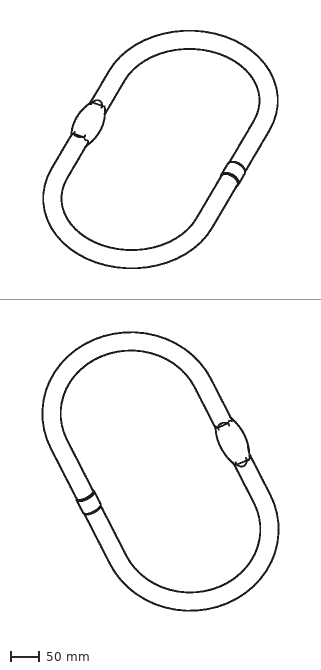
import cadquery as cq

bar_diameter = 33.0
inner_length = 500.0
inner_width = 250.0
straight_length = inner_length - inner_width
bar_radius = bar_diameter / 2
bend_radius = inner_width / 2 + bar_radius

collar_radius = 35.48 / 2
collar_land_length = 27.0
collar_length = 32.0

overall_width = 323.78
bulge_half_width = overall_width - 2 * bend_radius - collar_radius
bulge_side_radius = 104.0
bulge_half_length = 42.0
bulge_half_height = 13.0
bulge_edge_fillet = 6.4
flat_length = 80.0
ramp_length = 6.3
cut_clearance = 1.0


def make_ring():
    """Round bar bent into a closed oval in the XY plane."""
    half_straight = straight_length / 2
    path = (
        cq.Workplane("XY")
        .moveTo(bend_radius, -half_straight)
        .lineTo(bend_radius, half_straight)
        .threePointArc((0, half_straight + bend_radius), (-bend_radius, half_straight))
        .lineTo(-bend_radius, -half_straight)
        .threePointArc((0, -half_straight - bend_radius), (bend_radius, -half_straight))
        .close()
    )
    section_plane = cq.Workplane("XZ", origin=(bend_radius, -half_straight, 0))
    return section_plane.circle(bar_radius).sweep(path)


def make_collar():
    """Sleeve with tapered ends, turned about the +X leg."""
    half_land = collar_land_length / 2
    half_length = collar_length / 2
    return (
        cq.Workplane("XY", origin=(bend_radius, 0, 0))
        .moveTo(0, -half_length)
        .lineTo(bar_radius, -half_length)
        .lineTo(collar_radius, -half_land)
        .lineTo(collar_radius, half_land)
        .lineTo(bar_radius, half_length)
        .lineTo(0, half_length)
        .close()
        .revolve(360, (0, 0, 0), (0, 1, 0))
    )


def make_flat_cutter(side):
    """Prism that flattens the -X leg above (side = 1) or below (side = -1)."""
    half_flat = flat_length / 2
    half_mouth = half_flat + ramp_length
    flat_z = side * bulge_half_height
    surface_z = side * bar_radius
    clear_z = side * (bar_radius + cut_clearance)
    return (
        cq.Workplane("YZ", origin=(-bend_radius, 0, 0))
        .moveTo(-half_flat, flat_z)
        .lineTo(half_flat, flat_z)
        .lineTo(half_mouth, surface_z)
        .lineTo(half_mouth, clear_z)
        .lineTo(-half_mouth, clear_z)
        .lineTo(-half_mouth, surface_z)
        .close()
        .extrude(bar_radius, both=True)
    )


def make_bulge():
    """Barrel-shaped block with rounded long edges, centred on the -X leg."""
    sagitta = bulge_side_radius - (bulge_side_radius**2 - bulge_half_length**2) ** 0.5
    end_half_width = bulge_half_width - sagitta
    outline = (
        cq.Workplane("XY", origin=(-bend_radius, 0, -bulge_half_height))
        .moveTo(end_half_width, -bulge_half_length)
        .threePointArc((bulge_half_width, 0), (end_half_width, bulge_half_length))
        .lineTo(-end_half_width, bulge_half_length)
        .threePointArc((-bulge_half_width, 0), (-end_half_width, -bulge_half_length))
        .close()
    )
    block = outline.extrude(2 * bulge_half_height)
    return block.edges("(>Z or <Z) and (not |X)").fillet(bulge_edge_fillet)


result = make_ring().union(make_collar())
for side in (1, -1):
    result = result.cut(make_flat_cutter(side))
result = result.union(make_bulge())